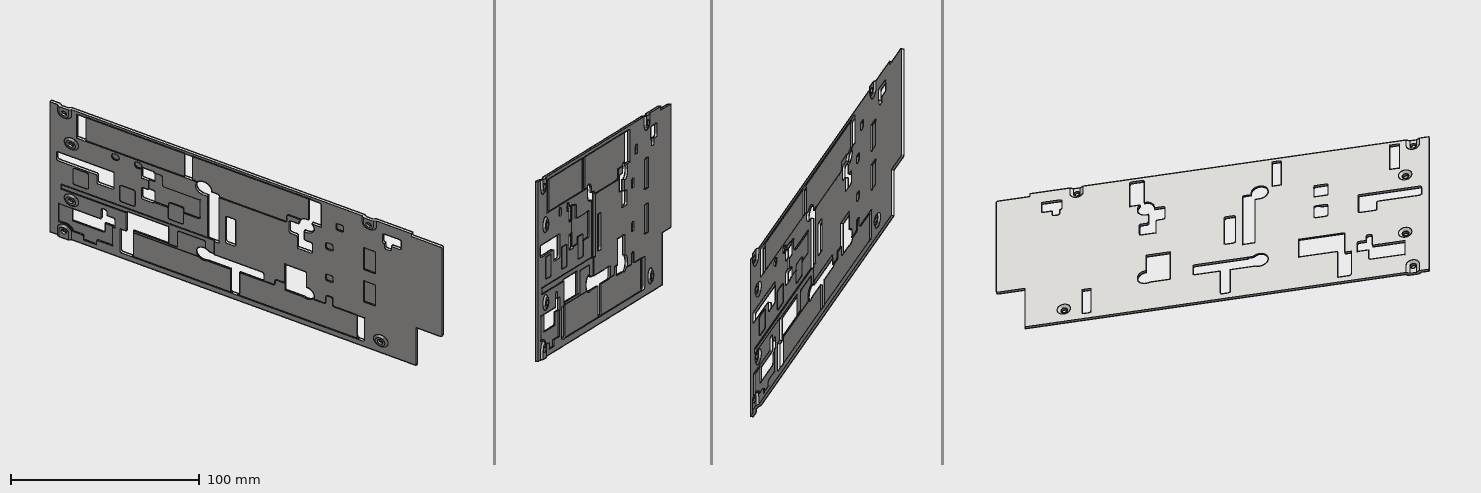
import cadquery as cq
import math


LENGTH = 234.0
WIDTH = 97.0
TOTAL_THICKNESS = 2.56
BOSS_HEIGHT = 1.0
PLATE_THICKNESS = TOTAL_THICKNESS - BOSS_HEIGHT
STEP_X, STEP_Z = 218.5, 28.2
NOTCH_X, NOTCH_Z = 215.7, 94.9

FINE = 0.6
SOFT = 1.2

PANEL_DEPTH = 0.6
POCKET_DEPTH = 0.8
CHANNEL_DEPTH = 0.6

UPPER_PANEL_TOP, UPPER_PANEL_BOTTOM = 94.9, 77.2
UPPER_PANEL_LOW_BOTTOM = 71.5
LOWER_PANEL_TOP, LOWER_PANEL_BOTTOM = 21.3, 3.7
UPPER_SLOTS = [(15.9, 21.2), (79.9, 84.7), (153.9, 161.8)]
LOWER_SLOT_MIDDLE = (107.4, 112.8)
LOWER_SLOT_RIGHT = (182.8, 187.6)

CENTRAL_POCKET_LEFT = 58.7
CENTRAL_WINDOW_LEFT, CENTRAL_WINDOW_RIGHT = 54.6, 62.2
UPPER_CENTRAL_WINDOW = (65.0, 73.1)
LOWER_CENTRAL_WINDOW = (49.6, 58.2)

CENTRE_SLOT_SIDES = (104.6, 110.8)
CENTRE_SLOT_SPAN = (39.6, 59.6)

CORNER_POCKET_TOP = 23.5

CHANNEL_TOP, CHANNEL_BOTTOM = 38.3, 34.9
CHANNEL_LEFT, CHANNEL_RIGHT = 6.7, 98.0
ELBOW_LEDGE_Z = 22.6
ELBOW_HIDDEN_X = 60.0

CLEARANCE_RADIUS = 4.6
CLEARANCE_LEFT_X, CLEARANCE_RIGHT_X = 91.5, 153.0
CLEARANCE_TOP_Z = 73.9
CLEARANCE_LOWER_LEFT_Z, CLEARANCE_LOWER_RIGHT_Z = 24.6, 23.9

TALL_LEFT, TALL_RIGHT = 187.1, 194.1
TALL_SPANS = [(33.2, 49.0), (57.3, 73.7)]
SQUARE_WIDTH, SQUARE_HEIGHT = 4.4, 5.0
SQUARE_CORNERS = [(170.7, 79.4), (164.5, 62.4), (164.5, 38.9)]
ROUND_RECESS_RADIUS = 2.3
ROUND_RECESS_Z = 73.5
ROUND_RECESS_XS = (39.0, 52.6)

PAD_LEFT_EDGES = (13.7, 41.6, 70.5)
PAD_WIDTH = 9.2
PAD_BOTTOM, PAD_TOP = 41.8, 53.9
PAD_DEPTH = 0.2

BOSS_BASE_RADIUS = 4.3
BOSS_TOP_RADIUS = 2.9
DIMPLE_BASE_RADIUS = 3.6
DIMPLE_TOP_RADIUS = 1.8
SCREW_HOLE_RADIUS = 1.6
TOP_MOUNT_Z = 93.0
TOP_EDGE_MOUNTS = [(8.7, TOP_MOUNT_Z), (190.5, TOP_MOUNT_Z)]
BOTTOM_EDGE_MOUNT = (8.7, 5.0)
INNER_MOUNTS = [(12.8, 29.5), (12.8, 71.5), (197.4, 8.9)]
BOTTOM_MOUNT_GUARD_RADIUS = 5.2


def outline(corners):
    """Closed XZ wire through (x, z) or (x, z, radius) corners; the radius rounds that corner."""
    points = [cq.Vector(corner[0], corner[1]) for corner in corners]
    path = None
    for i, corner in enumerate(corners):
        radius = corner[2] if len(corner) > 2 else 0.0
        before = (points[i - 1] - points[i]).normalized()
        after = (points[(i + 1) % len(points)] - points[i]).normalized()
        half_angle = before.getAngle(after) / 2
        tangent = radius / math.tan(half_angle)
        to_arc = radius / math.sin(half_angle) - radius
        start = points[i] + before * tangent
        middle = points[i] + (before + after).normalized() * to_arc
        end = points[i] + after * tangent
        if path is None:
            path = cq.Workplane("XZ").moveTo(start.x, start.y)
        else:
            path = path.lineTo(start.x, start.y)
        if radius > 0:
            path = path.threePointArc((middle.x, middle.y), (end.x, end.y))
    return path.close()


def box_corners(left, right, bottom, top, bottom_radius=0.0, top_left_radius=0.0, top_right_radius=0.0):
    return [
        (left, bottom, bottom_radius),
        (right, bottom, bottom_radius),
        (right, top, top_right_radius),
        (left, top, top_left_radius),
    ]


def rounded_box(left, right, bottom, top, radius):
    return box_corners(left, right, bottom, top, radius, radius, radius)


def prism(corners, depth):
    """Solid reaching from the front face to the given depth."""
    return outline(corners).extrude(-depth)


def disc(x, z, radius, depth):
    """Round solid reaching from the front face to the given depth."""
    return cq.Workplane("XZ").center(x, z).circle(radius).extrude(-depth)


def window(corners):
    return prism(corners, PLATE_THICKNESS)


def clearance(x, z):
    return disc(x, z, CLEARANCE_RADIUS, PLATE_THICKNESS)



def plate_blank():
    corners = [
        (0, 0),
        (STEP_X, 0),
        (STEP_X, STEP_Z),
        (LENGTH, STEP_Z, SOFT),
        (LENGTH, NOTCH_Z, SOFT),
        (NOTCH_X, NOTCH_Z, FINE),
        (NOTCH_X, WIDTH),
        (0, WIDTH),
    ]
    return prism(corners, PLATE_THICKNESS)



def upper_panel():
    """Panel along the top edge; its ends lie inside the end slots."""
    left = sum(UPPER_SLOTS[0]) / 2
    right = sum(UPPER_SLOTS[-1]) / 2
    tab_left = 141.2
    clearance_approach_x = 86.2
    corners = [
        (left, UPPER_PANEL_TOP),
        (right, UPPER_PANEL_TOP),
        (right, UPPER_PANEL_BOTTOM),
        (tab_left, UPPER_PANEL_BOTTOM, SOFT),
        (tab_left, UPPER_PANEL_LOW_BOTTOM, SOFT),
        (CLEARANCE_LEFT_X + CLEARANCE_RADIUS, UPPER_PANEL_LOW_BOTTOM),
        (CLEARANCE_LEFT_X, CLEARANCE_TOP_Z),
        (clearance_approach_x, UPPER_PANEL_BOTTOM, SOFT),
        (left, UPPER_PANEL_BOTTOM),
    ]
    return prism(corners, PANEL_DEPTH)


def lower_panel():
    """Panel along the bottom edge with a finger and a step on its top side."""
    left = 45.5
    right = sum(LOWER_SLOT_RIGHT) / 2
    finger_left, finger_right, finger_top = 164.5, 168.6, 27.7
    step_left, step_right, step_top = 134.1, 145.0, 25.6
    corners = [
        (left, LOWER_PANEL_BOTTOM),
        (right, LOWER_PANEL_BOTTOM),
        (right, LOWER_PANEL_TOP),
        (finger_right, LOWER_PANEL_TOP, SOFT),
        (finger_right, finger_top, SOFT),
        (finger_left, finger_top, SOFT),
        (finger_left, LOWER_PANEL_TOP, SOFT),
        (step_right, LOWER_PANEL_TOP),
        (step_right, step_top),
        (step_left, step_top, SOFT),
        (step_left, LOWER_PANEL_TOP, SOFT),
        (left, LOWER_PANEL_TOP),
    ]
    return prism(corners, PANEL_DEPTH)


def pad_prisms(depth):
    corner_sets = [rounded_box(x, x + PAD_WIDTH, PAD_BOTTOM, PAD_TOP, SOFT) for x in PAD_LEFT_EDGES]
    return [prism(corners, depth) for corners in corner_sets]


def central_pocket():
    """Stepped pocket joining the two small windows left of centre, kept clear of the last pad."""
    right, bottom = 89.6, 50.3
    step_x, step_z = 67.2, 64.5
    top = 72.4
    corners = [
        (CENTRAL_POCKET_LEFT, bottom),
        (right, bottom, SOFT),
        (right, step_z),
        (step_x, step_z, SOFT),
        (step_x, top, SOFT),
        (CENTRAL_POCKET_LEFT, top),
    ]
    return prism(corners, POCKET_DEPTH).cut(pad_prisms(PLATE_THICKNESS)[-1])


def corner_pocket():
    """Pocket around the lower left window, kept clear of the bottom mount."""
    mount_x, mount_z = BOTTOM_EDGE_MOUNT
    left, right = 5.0, 37.4
    bottom = 6.5
    left_bottom = 10.0
    tab_left, tab_right, tab_bottom = 20.0, 27.7, 3.0
    corners = [
        (left, left_bottom),
        (mount_x, left_bottom),
        (mount_x, bottom),
        (tab_left, bottom, SOFT),
        (tab_left, tab_bottom),
        (tab_right, tab_bottom),
        (tab_right, bottom, SOFT),
        (right, bottom),
        (right, CORNER_POCKET_TOP),
        (left, CORNER_POCKET_TOP),
    ]
    guard = disc(mount_x, mount_z, BOTTOM_MOUNT_GUARD_RADIUS, PLATE_THICKNESS)
    return prism(corners, POCKET_DEPTH).cut(guard)


def channel():
    """Long channel that widens to the right around the lower middle pocket."""
    corners = [
        (CHANNEL_LEFT, CHANNEL_BOTTOM),
        (ELBOW_HIDDEN_X, CHANNEL_BOTTOM),
        (ELBOW_HIDDEN_X, ELBOW_LEDGE_Z),
        (CHANNEL_RIGHT, ELBOW_LEDGE_Z),
        (CHANNEL_RIGHT, CHANNEL_TOP),
        (CHANNEL_LEFT, CHANNEL_TOP),
    ]
    return prism(corners, CHANNEL_DEPTH)


def lower_middle_pocket():
    """Pocket inside the channel with a ledge along the top of the lower panel."""
    ledge_left = 48.0
    left, right, top = 75.8, 92.5, 34.8
    corners = [
        (ledge_left, LOWER_PANEL_TOP),
        (right, LOWER_PANEL_TOP),
        (right, top, SOFT),
        (left, top, SOFT),
        (left, ELBOW_LEDGE_Z),
        (ledge_left, ELBOW_LEDGE_Z),
    ]
    return prism(corners, POCKET_DEPTH)


def small_recesses():
    recesses = []
    for bottom, top in TALL_SPANS:
        recesses.append(prism(rounded_box(TALL_LEFT, TALL_RIGHT, bottom, top, FINE), POCKET_DEPTH))
    for left, bottom in SQUARE_CORNERS:
        corners = rounded_box(left, left + SQUARE_WIDTH, bottom, bottom + SQUARE_HEIGHT, SOFT)
        recesses.append(prism(corners, POCKET_DEPTH))
    for x in ROUND_RECESS_XS:
        recesses.append(disc(x, ROUND_RECESS_Z, ROUND_RECESS_RADIUS, POCKET_DEPTH))
    return recesses



def panel_slots():
    """Straight slots that cross the panels."""
    bottom, top = UPPER_PANEL_BOTTOM, UPPER_PANEL_TOP
    slots = [window(box_corners(*sides, bottom, top, 0.0, FINE)) for sides in UPPER_SLOTS[:-1]]
    slots.append(window(box_corners(*UPPER_SLOTS[-1], bottom, top, 0.0, SOFT, SOFT)))
    middle_top = CLEARANCE_LOWER_LEFT_Z
    slots.append(window(box_corners(*LOWER_SLOT_MIDDLE, LOWER_PANEL_BOTTOM, middle_top, SOFT)))
    slots.append(window(box_corners(*LOWER_SLOT_RIGHT, LOWER_PANEL_BOTTOM, LOWER_PANEL_TOP, SOFT)))
    return slots


def elbow_window():
    """Slot at the left end of the lower panel opening into a wide upper part."""
    slot_left, slot_right = 41.9, 49.4
    wide_left, wide_right, wide_top = 45.5, 70.5, 35.5
    corners = [
        (slot_left, LOWER_PANEL_BOTTOM, SOFT),
        (slot_right, LOWER_PANEL_BOTTOM, FINE),
        (slot_right, ELBOW_LEDGE_Z),
        (wide_right, ELBOW_LEDGE_Z),
        (wide_right, wide_top),
        (wide_left, wide_top, FINE),
        (wide_left, LOWER_PANEL_TOP),
        (slot_left, LOWER_PANEL_TOP),
    ]
    return window(corners)


def upper_left_clearance_window():
    """Tall slot hanging from the upper left clearance."""
    left, right, bottom, top = 94.0, 100.8, 37.6, 73.1
    shelf_z = CLEARANCE_TOP_Z - CLEARANCE_RADIUS
    corners = [
        (CLEARANCE_LEFT_X, shelf_z),
        (left, shelf_z),
        (left, bottom, FINE),
        (right, bottom),
        (right, top, SOFT),
        (CLEARANCE_LEFT_X, top),
    ]
    return window(corners).union(clearance(CLEARANCE_LEFT_X, CLEARANCE_TOP_Z))


def upper_right_clearance_window():
    """Stepped opening below the upper right clearance."""
    left, top, step_bottom = 142.7, 73.6, 64.4
    lower_left, bottom = 147.6, 55.2
    inner_right, lower_right, lower_top = 151.6, 156.6, 63.1
    corners = [
        (left, top, SOFT),
        (left, step_bottom, SOFT),
        (lower_left, step_bottom, SOFT),
        (lower_left, bottom),
        (lower_right, bottom, SOFT),
        (lower_right, lower_top, SOFT),
        (inner_right, lower_top, SOFT),
        (inner_right, top),
    ]
    return window(corners).union(clearance(CLEARANCE_RIGHT_X, CLEARANCE_TOP_Z))


def lower_left_clearance_window():
    """Long slot running right from the lower left clearance."""
    right, bottom, top = 127.6, 20.5, 27.7
    corners = [
        (CLEARANCE_LEFT_X, bottom),
        (right, bottom, SOFT),
        (right, top, SOFT),
        (CLEARANCE_LEFT_X, top),
    ]
    return window(corners).union(clearance(CLEARANCE_LEFT_X, CLEARANCE_LOWER_LEFT_Z))


def lower_right_clearance_window():
    """Large rectangle to the left of the lower right clearance."""
    left, right, bottom, top = 139.9, CLEARANCE_RIGHT_X, 19.8, 39.8
    corners = [
        (left, bottom, FINE),
        (right, bottom),
        (right, top, FINE),
        (left, top),
    ]
    return window(corners).union(clearance(CLEARANCE_RIGHT_X, CLEARANCE_LOWER_RIGHT_Z))


def left_ell_window():
    left, right, top = 3.9, 38.2, 61.8
    arm_bottom = 55.2
    leg_left, leg_bottom = 28.2, 48.8
    corners = [
        (left, arm_bottom, SOFT),
        (leg_left, arm_bottom, SOFT),
        (leg_left, leg_bottom, FINE),
        (right, leg_bottom, SOFT),
        (right, top, FINE),
        (left, top, SOFT),
    ]
    return window(corners)


def corner_pocket_window():
    """Rectangle in the lower left pocket with a block and a rounded finger at its right."""
    left, right, bottom = 13.0, 32.5, 13.5
    block_bottom, block_right, block_top = 20.5, 38.8, 27.6
    finger_left, finger_right, finger_top = 30.6, 34.0, 31.6
    finger_radius = 1.5
    corners = [
        (left, bottom),
        (right, bottom, SOFT),
        (right, block_bottom),
        (block_right, block_bottom),
        (block_right, block_top, SOFT),
        (finger_right, block_top),
        (finger_right, finger_top, finger_radius),
        (finger_left, finger_top, finger_radius),
        (finger_left, CORNER_POCKET_TOP, FINE),
        (left, CORNER_POCKET_TOP),
    ]
    return window(corners)


def upper_right_window():
    """Rectangle with a short round-ended leg at the right end of the plate."""
    left, right, bottom, top = 198.4, 209.5, 82.0, 89.3
    leg_left, leg_right, leg_bottom = 199.7, 203.7, 78.5
    corners = [
        (left, bottom, SOFT),
        (leg_left, bottom),
        (leg_left, leg_bottom, SOFT),
        (leg_right, leg_bottom, SOFT),
        (leg_right, bottom),
        (right, bottom, SOFT),
        (right, top, FINE),
        (left, top, SOFT),
    ]
    return window(corners)


def plain_windows():
    sides = (CENTRAL_WINDOW_LEFT, CENTRAL_WINDOW_RIGHT)
    return [
        window(rounded_box(*CENTRE_SLOT_SIDES, *CENTRE_SLOT_SPAN, SOFT)),
        window(rounded_box(*sides, *UPPER_CENTRAL_WINDOW, FINE)),
        window(rounded_box(*sides, *LOWER_CENTRAL_WINDOW, SOFT)),
    ]



def mount_form(x, z, edge, base_y, base_radius, top_radius):
    """Cone rising toward -Y by the boss height, carried out to Z = edge if an edge is given."""
    top_y = base_y - BOSS_HEIGHT
    toward_front = cq.Vector(0, -1, 0)
    base_centre = cq.Vector(x, base_y, z)
    cone = cq.Solid.makeCone(base_radius, top_radius, BOSS_HEIGHT, base_centre, toward_front)
    form = cq.Workplane(cone)
    if edge is None:
        return form
    section = [(-base_radius, base_y), (base_radius, base_y), (top_radius, top_y), (-top_radius, top_y)]
    ridge = cq.Workplane("XY", origin=(x, 0, min(z, edge))).polyline(section).close().extrude(abs(edge - z))
    plate_zone = cq.Workplane("XZ", origin=(0, base_y, 0)).rect(LENGTH, WIDTH, centered=False)
    return form.union(ridge).intersect(plate_zone.extrude(BOSS_HEIGHT))


def add_mount(body, x, z, edge=None):
    """Raise a boss, hollow it from the back and drill its screw hole."""
    boss = mount_form(x, z, edge, 0, BOSS_BASE_RADIUS, BOSS_TOP_RADIUS)
    dimple = mount_form(x, z, edge, PLATE_THICKNESS, DIMPLE_BASE_RADIUS, DIMPLE_TOP_RADIUS)
    hole = cq.Workplane("XZ", origin=(x, PLATE_THICKNESS, z)).circle(SCREW_HOLE_RADIUS)
    return body.union(boss).cut(dimple).cut(hole.extrude(TOTAL_THICKNESS))



recesses = small_recesses() + pad_prisms(PAD_DEPTH) + [
    upper_panel(),
    lower_panel(),
    central_pocket(),
    corner_pocket(),
    channel(),
    lower_middle_pocket(),
]
openings = panel_slots() + plain_windows() + [
    elbow_window(),
    upper_left_clearance_window(),
    upper_right_clearance_window(),
    lower_left_clearance_window(),
    lower_right_clearance_window(),
    left_ell_window(),
    corner_pocket_window(),
    upper_right_window(),
]

result = plate_blank()
for recess in recesses:
    result = result.cut(recess)
for opening in openings:
    result = result.cut(opening)
for mount_x, mount_z in INNER_MOUNTS:
    result = add_mount(result, mount_x, mount_z)
for mount_x, mount_z in TOP_EDGE_MOUNTS:
    result = add_mount(result, mount_x, mount_z, edge=WIDTH)
result = add_mount(result, *BOTTOM_EDGE_MOUNT, edge=0.0)